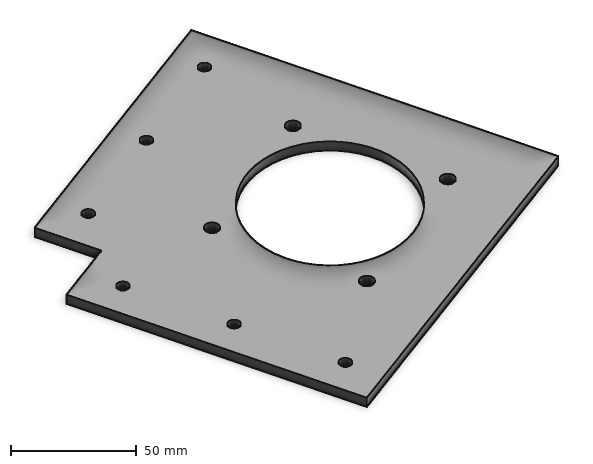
import cadquery as cq

side = 165.0
thickness = 5.0
notch = 30.0

bore_diameter = 75.0
bore_center = (notch + side) / 2

bolt_spacing = 69.6
bolt_diameter = 6.5

strip_middle = notch / 2
row_pitch = 50.0
row_diameter = 5.5


def drill(body, points, diameter):
    """Cut through holes at points measured from the plate's lower left corner."""
    cutters = cq.Workplane("XY").pushPoints(points).circle(diameter / 2).extrude(thickness)
    return body.cut(cutters)


plate = cq.Workplane("XY").rect(side, side, centered=False).extrude(thickness)
corner = cq.Workplane("XY").rect(notch, notch, centered=False).extrude(thickness)
plate = plate.cut(corner)

plate = drill(plate, [(bore_center, bore_center)], bore_diameter)

bolt_places = [bore_center - bolt_spacing / 2, bore_center + bolt_spacing / 2]
plate = drill(plate, [(x, y) for x in bolt_places for y in bolt_places], bolt_diameter)

row_places = [bore_center + step * row_pitch for step in (-1, 0, 1)]
plate = drill(plate, [(strip_middle, y) for y in row_places], row_diameter)
plate = drill(plate, [(x, strip_middle) for x in row_places], row_diameter)

result = plate